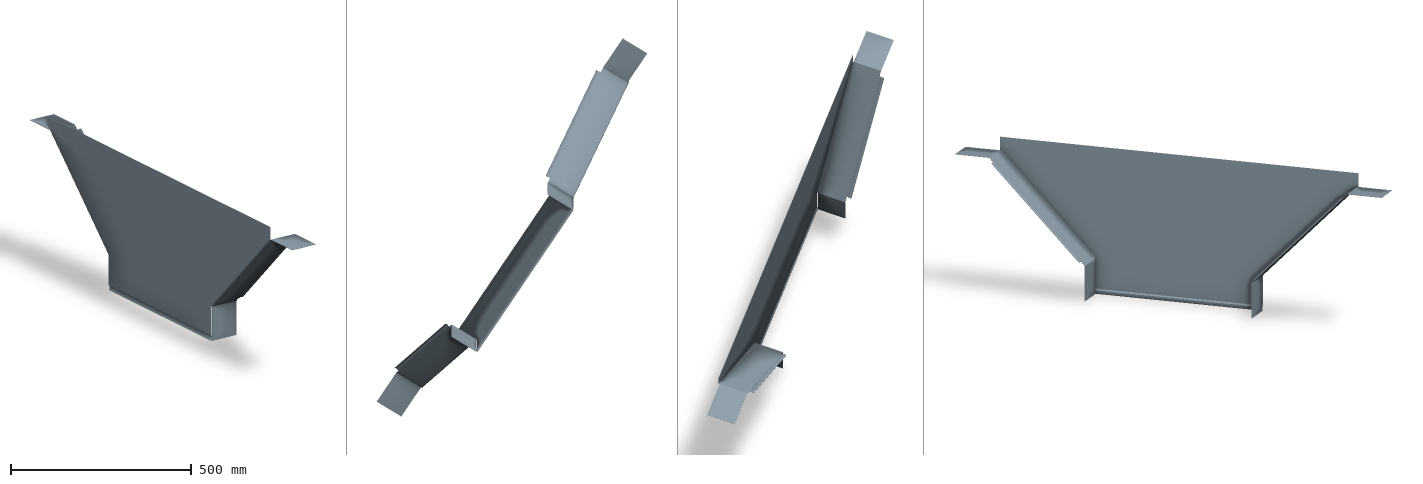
import cadquery as cq
import math

SHEET = 1.0
SPAN = 1262.0
WIDE = 1060.0
NARROW = 495.0
HEIGHT = 423.0
RIM = 39.0
WALL_BACK = 85.0
DEPTH = 98.0
FLANGE = 32.0
BEND_RADIUS = 4.0
LIP_SETBACK = 11.0

PLATE_BEAD_LENGTH = 15.0
PLATE_BEAD_RISE = 4.0
LIP_BEAD_LENGTH = 10.0
LIP_BEAD_RISE = 3.0

HALF_SPAN = SPAN / 2
HALF_WIDE = WIDE / 2
HALF_NARROW = NARROW / 2
TAB_Z = HEIGHT - RIM
SLOPE_DROP = HALF_WIDE - HALF_NARROW
KNEE_Z = TAB_Z - SLOPE_DROP
WALL_MIDDLE_X = -(HALF_WIDE + HALF_NARROW) / 2
WALL_MIDDLE_Z = (TAB_Z + KNEE_Z) / 2
BEND_SHIFT = SHEET * math.tan(math.pi / 8)


def beaded_strip(length, bead_length, rise):
    """Section of a flat sheet with a snap bead: u runs to the free edge at u = length, v points inwards."""
    bead_start = length - bead_length
    crest = bead_start + rise
    flare = length - crest
    flare_radius = (flare**2 + rise**2) / (2 * rise)
    half_angle = math.asin(flare / flare_radius) / 2
    middle_u = crest + flare_radius * math.sin(half_angle)
    middle_v = rise - flare_radius * (1 - math.cos(half_angle))
    return (
        cq.Workplane("XY")
        .lineTo(bead_start, 0)
        .lineTo(crest, rise)
        .threePointArc((middle_u, middle_v), (length, 0))
        .lineTo(length, SHEET)
        .threePointArc((middle_u, middle_v + SHEET), (crest, rise + SHEET))
        .lineTo(bead_start, SHEET)
        .lineTo(0, SHEET)
        .close()
    )


def placed(section, width, origin, u_direction, v_direction):
    """Extrude a (u, v) section over a width centred on origin, with u and v turned to the given directions."""
    normal = cq.Vector(*u_direction).cross(cq.Vector(*v_direction))
    plane = cq.Plane(origin=origin, xDir=u_direction, normal=normal.toTuple())
    return cq.Workplane(obj=section.extrude(width / 2, both=True).val().moved(cq.Location(plane)))


def make_base_plate():
    """Funnel-shaped plate with a snap bead along its bottom edge."""
    slope_z = KNEE_Z + FLANGE
    outline = [
        (HALF_WIDE, HEIGHT),
        (HALF_WIDE, TAB_Z),
        (HALF_WIDE - FLANGE, TAB_Z),
        (HALF_NARROW, slope_z),
        (HALF_NARROW, PLATE_BEAD_LENGTH),
    ]
    mirrored = [(-x, z) for x, z in reversed(outline)]
    funnel = cq.Workplane("XZ").polyline(outline + mirrored).close().extrude(-SHEET)
    strip = beaded_strip(slope_z, PLATE_BEAD_LENGTH, PLATE_BEAD_RISE)
    edge = placed(strip, NARROW - 2 * SHEET, (0, 0, slope_z), (0, 0, -1), (0, 1, 0))
    return funnel.union(edge)


def make_left_side():
    """Sloping side wall with a tab at each end, a flange butting against the plate and a snap lip."""
    wall_and_tabs = (
        cq.Workplane("XZ", origin=(0, BEND_RADIUS, 0))
        .polyline([
            (-HALF_SPAN, TAB_Z),
            (-HALF_WIDE, TAB_Z),
            (-HALF_NARROW, KNEE_Z),
            (-HALF_NARROW, 0),
            (-HALF_NARROW + SHEET, 0),
            (-HALF_NARROW + SHEET, KNEE_Z + BEND_SHIFT),
            (-HALF_WIDE + BEND_SHIFT, TAB_Z + SHEET),
            (-HALF_SPAN, TAB_Z + SHEET),
        ])
        .close()
        .extrude(BEND_RADIUS - WALL_BACK)
    )
    return wall_and_tabs.union(make_flange()).union(make_lip())


def make_flange():
    """Flange in the plane of the plate with its bend into the wall, cut off level with the tabs."""
    reach = FLANGE / math.sqrt(2)
    inner_radius = BEND_RADIUS - SHEET
    arc_share = 1 - math.sqrt(0.5)
    outer_middle = BEND_RADIUS * arc_share
    inner_middle = SHEET + inner_radius * arc_share
    section = (
        cq.Workplane("XY")
        .moveTo(0, BEND_RADIUS)
        .lineTo(SHEET, BEND_RADIUS)
        .threePointArc((inner_middle, inner_middle), (BEND_RADIUS, SHEET))
        .lineTo(reach, SHEET)
        .lineTo(reach, 0)
        .lineTo(BEND_RADIUS, 0)
        .threePointArc((outer_middle, outer_middle), (0, BEND_RADIUS))
        .close()
    )
    slope_length = SLOPE_DROP * math.sqrt(2)
    full_flange = placed(section, slope_length, (WALL_MIDDLE_X, 0, WALL_MIDDLE_Z), (1, 0, 1), (0, 1, 0))
    between_tabs = (
        cq.Workplane("XZ")
        .polyline([
            (-HALF_WIDE, TAB_Z),
            (-HALF_NARROW, KNEE_Z),
            (-HALF_NARROW, TAB_Z),
        ])
        .close()
        .extrude(-BEND_RADIUS)
    )
    return full_flange.intersect(between_tabs)


def make_lip():
    """Snap lip that carries the wall on to the full depth, shorter than the wall at both ends."""
    width = (SLOPE_DROP - 2 * LIP_SETBACK) * math.sqrt(2)
    strip = beaded_strip(DEPTH - BEND_RADIUS, LIP_BEAD_LENGTH, LIP_BEAD_RISE)
    return placed(strip, width, (WALL_MIDDLE_X, BEND_RADIUS, WALL_MIDDLE_Z), (0, 1, 0), (1, 0, 1))


def make_side(hand):
    """One side piece: hand is -1 for the -X side, +1 for its mirror image on the +X side."""
    left_side = make_left_side()
    return left_side if hand < 0 else left_side.mirror("YZ")


base_plate = make_base_plate()
sides = [make_side(hand) for hand in (-1, 1)]

result = cq.Compound.makeCompound([
    base_plate.solids().val(),
    *[side.solids().val() for side in sides],
])